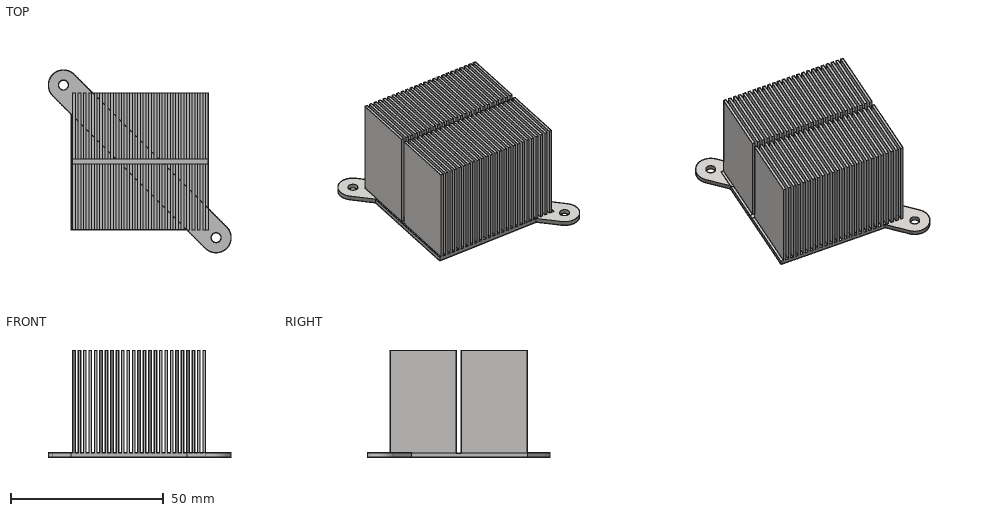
import cadquery as cq

overall_size = 59.85
end_radius = 4.95
strap_hole_diameter = 3.2
strap_thickness = 1.55
hole_offset = overall_size / 2 - end_radius

plate_side = 44.9
plate_thickness = 1.45

overall_height = 35.0
fin_count = 25
fin_thickness = 0.9
left_margin = 0.5
right_margin = 0.9
first_fin_left = -plate_side / 2 + left_margin
last_fin_right = plate_side / 2 - right_margin
fin_pitch = (last_fin_right - first_fin_left - fin_thickness) / (fin_count - 1)

channel_width = 1.55
channel_floor = plate_thickness - 0.05

step_floor = strap_thickness - 0.05


def make_strap():
    hole_spacing = 2 * hole_offset * 2**0.5
    hole_centers = [(-hole_offset, hole_offset), (hole_offset, -hole_offset)]
    holes = (
        cq.Workplane("XY")
        .pushPoints(hole_centers)
        .circle(strap_hole_diameter / 2)
        .extrude(strap_thickness)
    )
    bar = (
        cq.Workplane("XY")
        .transformed(rotate=(0, 0, -45))
        .slot2D(hole_spacing + 2 * end_radius, 2 * end_radius)
        .extrude(strap_thickness)
    )
    return bar.cut(holes)


def make_plate():
    return cq.Workplane("XY").rect(plate_side, plate_side).extrude(plate_thickness)


def make_fins():
    first_center = first_fin_left + fin_thickness / 2
    centers = [(first_center + i * fin_pitch, 0) for i in range(fin_count)]
    return (
        cq.Workplane("XY")
        .pushPoints(centers)
        .rect(fin_thickness, plate_side)
        .extrude(overall_height)
    )


def make_cutter(left, width, floor):
    """Block from x = left to the +X side of the plate, clearing everything above the floor."""
    length = plate_side / 2 - left
    return (
        cq.Workplane("XY")
        .workplane(offset=floor)
        .center(left + length / 2, 0)
        .rect(length, width)
        .extrude(overall_height - floor)
    )


body = make_plate().union(make_strap()).union(make_fins())
channel = make_cutter(first_fin_left, channel_width, channel_floor)
margin_step = make_cutter(last_fin_right, plate_side, step_floor)
result = body.cut(channel).cut(margin_step)